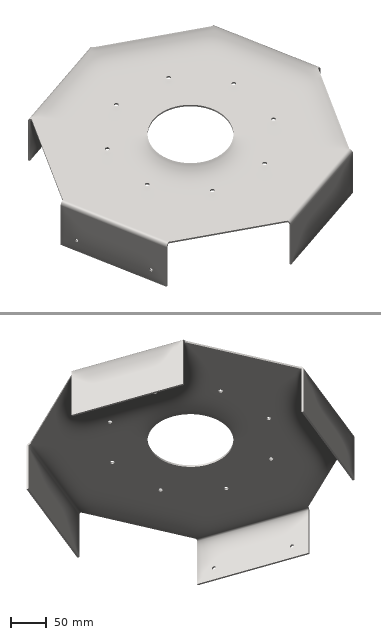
import cadquery as cq
import math

overall_width = 426.0
overall_height = 81.0
sheet_thickness = 3.0
bend_outer_radius = 6.0
bend_inner_radius = bend_outer_radius - sheet_thickness

side_count = 8
half_width = overall_width / 2
octagon_apothem = half_width - bend_outer_radius
flange_width = 2 * octagon_apothem * math.tan(math.pi / side_count)

center_hole_diameter = 120.0
bolt_circle_diameter = 240.3
bolt_hole_diameter = 6.5
bolt_hole_count = 8

flange_hole_diameter = 5.5
flange_hole_spacing = 120.0
flange_hole_height = 20.5


def make_top():
    """Octagonal plate with its upper face at the overall height."""
    corner_diameter = 2 * octagon_apothem / math.cos(math.pi / side_count)
    return (
        cq.Workplane("XY")
        .workplane(offset=overall_height - sheet_thickness)
        .transformed(rotate=(0, 0, 180 / side_count))
        .polygon(side_count, corner_diameter)
        .extrude(sheet_thickness)
    )


def make_flange(angle):
    """Bend and hanging flange, on the +X side before turning by angle about Z."""
    bend_center_z = overall_height - bend_outer_radius
    diagonal = math.sqrt(0.5)
    profile = (
        cq.Workplane("XZ")
        .moveTo(octagon_apothem, overall_height)
        .threePointArc(
            (octagon_apothem + bend_outer_radius * diagonal, bend_center_z + bend_outer_radius * diagonal),
            (half_width, bend_center_z),
        )
        .lineTo(half_width, 0)
        .lineTo(half_width - sheet_thickness, 0)
        .lineTo(half_width - sheet_thickness, bend_center_z)
        .threePointArc(
            (octagon_apothem + bend_inner_radius * diagonal, bend_center_z + bend_inner_radius * diagonal),
            (octagon_apothem, overall_height - sheet_thickness),
        )
        .close()
    )
    flange = profile.extrude(flange_width / 2, both=True)
    return flange.rotate((0, 0, 0), (0, 0, 1), angle)


def make_top_holes():
    """Cutters for the center opening and the bolt circle."""
    center_hole = cq.Workplane("XY").circle(center_hole_diameter / 2).extrude(overall_height)
    bolt_holes = (
        cq.Workplane("XY")
        .polarArray(bolt_circle_diameter / 2, 0, 360, bolt_hole_count)
        .circle(bolt_hole_diameter / 2)
        .extrude(overall_height)
    )
    return center_hole.union(bolt_holes)


def make_front_flange_holes():
    """Cutters for the pair of holes in the -Y flange only."""
    half_spacing = flange_hole_spacing / 2
    return (
        cq.Workplane("XZ")
        .pushPoints([(-half_spacing, flange_hole_height), (half_spacing, flange_hole_height)])
        .circle(flange_hole_diameter / 2)
        .extrude(half_width)
    )


body = make_top()
for side_angle in range(0, 360, 90):
    body = body.union(make_flange(side_angle))

result = body.cut(make_top_holes()).cut(make_front_flange_holes())